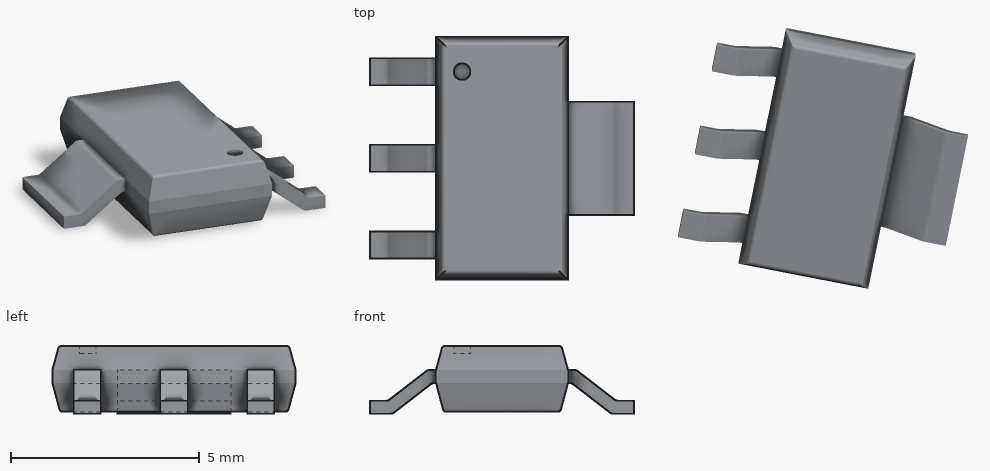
import cadquery as cq
import math

span_x = 7.0
top_z = 1.8

body_x = 3.5
body_y = 6.45
standoff = 0.05
band_bottom = 0.81
draft_angle = 15.0
rim_radius = 0.1
dimple_diameter = 0.44
dimple_depth = 0.195
dimple_x = -1.06

metal_thickness = 0.35
lead_width = 0.72
lead_pitch = 2.295
lead_count = 3
tab_width = 3.01
foot_length = 0.48
shoulder_length = 0.22
bend_radius = 0.15

band_top = band_bottom + metal_thickness
dimple_y = lead_pitch


def tapered_block(base_z, height):
    """Housing half that narrows away from the band; a negative height goes down."""
    return (
        cq.Workplane("XY", origin=(0, 0, base_z))
        .rect(body_x, body_y)
        .extrude(height, taper=draft_angle)
    )


def make_housing():
    band = (
        cq.Workplane("XY", origin=(0, 0, band_bottom))
        .rect(body_x, body_y)
        .extrude(metal_thickness)
    )
    upper = tapered_block(band_top, top_z - band_top).faces(">Z").edges().fillet(rim_radius)
    lower = tapered_block(band_bottom, standoff - band_bottom).faces("<Z").edges().fillet(rim_radius)
    dimple = (
        cq.Workplane("XY", origin=(dimple_x, dimple_y, top_z - dimple_depth))
        .circle(dimple_diameter / 2)
        .extrude(dimple_depth)
    )
    return band.union(upper).union(lower).cut(dimple)


def make_lead(width, center_y):
    """Gull-wing strip on the -X side, bent down from the housing wall to the seating plane."""
    tip_x = -span_x / 2
    wall_x = -body_x / 2
    foot_bend_x = tip_x + foot_length
    shoulder_bend_x = wall_x - shoulder_length
    slope_angle = math.atan2(band_bottom, shoulder_bend_x - foot_bend_x)
    underside_shift = metal_thickness * math.tan(slope_angle / 2)
    return (
        cq.Workplane("XZ", origin=(0, center_y + width / 2, 0))
        .moveTo(tip_x, 0)
        .lineTo(foot_bend_x + underside_shift, 0)
        .lineTo(shoulder_bend_x + underside_shift, band_bottom)
        .lineTo(wall_x, band_bottom)
        .lineTo(wall_x, band_top)
        .lineTo(shoulder_bend_x, band_top)
        .lineTo(foot_bend_x, metal_thickness)
        .lineTo(tip_x, metal_thickness)
        .close()
        .extrude(width)
        .edges("|Y")
        .edges(cq.selectors.BoxSelector(
            (tip_x + foot_length / 2, -body_y, -top_z),
            (wall_x - shoulder_length / 4, body_y, top_z),
        ))
        .fillet(bend_radius)
    )


def make_tab():
    """Wide lead on the +X side with the same bend as the leads."""
    return make_lead(tab_width, 0).mirror("YZ")


housing = make_housing()
leads = []
for index in range(lead_count):
    lead_y = (index - (lead_count - 1) / 2) * lead_pitch
    leads.append(make_lead(lead_width, lead_y))
tab = make_tab()

result = cq.Compound.makeCompound([
    housing.val(),
    *[lead.val() for lead in leads],
    tab.val(),
])